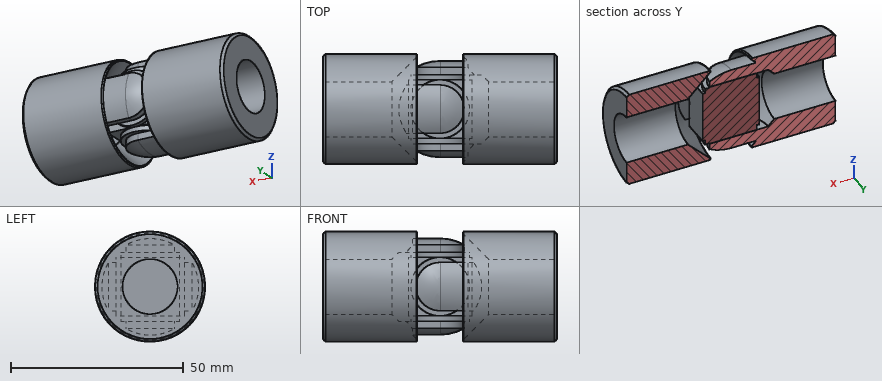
import cadquery as cq

joint_length = 68.0
hub_diameter = 32.0
gap_between_hubs = 13.05

outer_chamfer = 0.8
rim_chamfer = 0.4
bore_diameter = 16.0
cavity_rim_diameter = 31.0

ear_radius = 14.0
ear_width = ear_radius

block_side = 17.0
block_length = 18.5
pad_height = 1.5
pad_span = block_side + 2 * pad_height

half_length = joint_length / 2
half_gap = gap_between_hubs / 2
hub_length = half_length - half_gap

cavity_end = half_gap + (cavity_rim_diameter - bore_diameter) / 2


def make_hub_shell():
    """Hub on the -X side with its bore and cavity, without ears."""
    shell = cq.Workplane("YZ", origin=(-half_length, 0, 0)).circle(hub_diameter / 2).extrude(hub_length)
    shell = shell.faces("<X").chamfer(outer_chamfer)
    shell = shell.faces(">X").chamfer(rim_chamfer)
    bore = cq.Workplane("YZ", origin=(-half_length, 0, 0)).circle(bore_diameter / 2).extrude(hub_length)
    cavity = (
        cq.Workplane("XY")
        .moveTo(-half_gap, 0)
        .lineTo(-half_gap, cavity_rim_diameter / 2)
        .lineTo(-cavity_end, bore_diameter / 2)
        .lineTo(-cavity_end, 0)
        .close()
        .revolve(360, (0, 0, 0), (1, 0, 0))
    )
    return shell.cut(bore).cut(cavity)


def make_ears():
    """Two arms at +Z and -Z, rounded about the Z pivot axis and running back into the hub."""
    arms = (
        cq.Workplane("XY")
        .box(cavity_end, ear_width, 2 * ear_radius, centered=(False, True, True))
        .translate((-cavity_end, 0, 0))
        .union(cq.Workplane("XY").circle(ear_width / 2).extrude(ear_radius, both=True))
    )
    envelope = (
        cq.Workplane("YZ", origin=(-cavity_end, 0, 0))
        .circle(ear_radius)
        .extrude(cavity_end)
        .union(cq.Workplane("XY").sphere(ear_radius))
    )
    slot = cq.Workplane("XY").box(joint_length, hub_diameter, pad_span)
    return arms.intersect(envelope).cut(slot)


def make_yoke():
    """One hub joined to its two ears, on the -X side with a vertical pivot axis."""
    return make_hub_shell().union(make_ears())


def make_cross():
    """Centre block carrying the pads of both pivot axes."""
    block = cq.Workplane("XY").box(block_length, block_side, block_side)
    for pivot_plane in ("XY", "XZ"):
        pads = cq.Workplane(pivot_plane).circle(block_side / 2).extrude(pad_span / 2, both=True)
        block = block.union(pads)
    return block


yokes = []
for facing_angle, roll_angle in ((0, 0), (180, 90)):
    yoke = make_yoke().rotate((0, 0, 0), (0, 0, 1), facing_angle)
    yokes.append(yoke.rotate((0, 0, 0), (1, 0, 0), roll_angle).val())

cross = make_cross()

result = cq.Compound.makeCompound([*yokes, cross.val()])